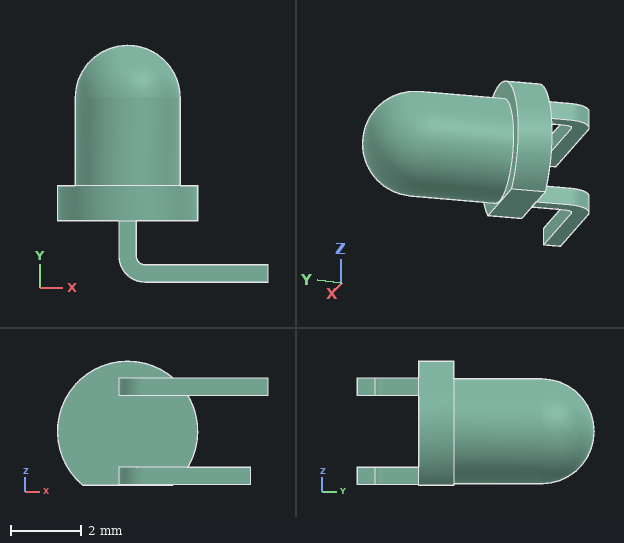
import cadquery as cq


lens_radius = 1.5
lens_straight_length = 2.5
flange_radius = 2.0
flange_thickness = 1.0
flat_distance = 1.54

lead_width = 0.5
lead_spacing = 2.54
lead_reach_back = 1.75
bend_inner_radius = 0.25
bend_outer_radius = bend_inner_radius + lead_width
upper_lead_end_x = 4.0
lower_lead_end_x = 3.5


def make_lens():
    """Cylinder closed by a hemispherical dome, revolved about the Y axis."""
    dome_start_y = flange_thickness + lens_straight_length
    dome_tip_y = dome_start_y + lens_radius
    return (
        cq.Workplane("XY")
        .lineTo(lens_radius, 0)
        .lineTo(lens_radius, dome_start_y)
        .radiusArc((0, dome_tip_y), -lens_radius)
        .close()
        .revolve(360, (0, 0), (0, 1))
    )


def make_flange():
    """Round flange with a flat along its lower edge."""
    disc = cq.Workplane("XZ").circle(flange_radius).extrude(-flange_thickness)
    below_flat = cq.Workplane("XY").box(
        2 * flange_radius, flange_thickness, flange_radius, centered=(True, False, False)
    )
    return disc.cut(below_flat.translate((0, 0, -flat_distance - flange_radius)))


def make_lead(end_x, center_z):
    """Square lead leaving the flange toward -Y, then bent toward +X."""
    near_x = -lead_width / 2
    far_x = lead_width / 2
    outer_y = -lead_reach_back
    inner_y = outer_y + lead_width
    bend_start_y = outer_y + bend_outer_radius
    bend_end_x = near_x + bend_outer_radius
    return (
        cq.Workplane("XY", origin=(0, 0, center_z - lead_width / 2))
        .moveTo(near_x, 0)
        .lineTo(near_x, bend_start_y)
        .radiusArc((bend_end_x, outer_y), -bend_outer_radius)
        .lineTo(end_x, outer_y)
        .lineTo(end_x, inner_y)
        .lineTo(bend_end_x, inner_y)
        .radiusArc((far_x, bend_start_y), bend_inner_radius)
        .lineTo(far_x, 0)
        .close()
        .extrude(lead_width)
    )


upper_lead = make_lead(upper_lead_end_x, lead_spacing / 2)
lower_lead = make_lead(lower_lead_end_x, -lead_spacing / 2)

result = make_flange().union(make_lens()).union(upper_lead).union(lower_lead)